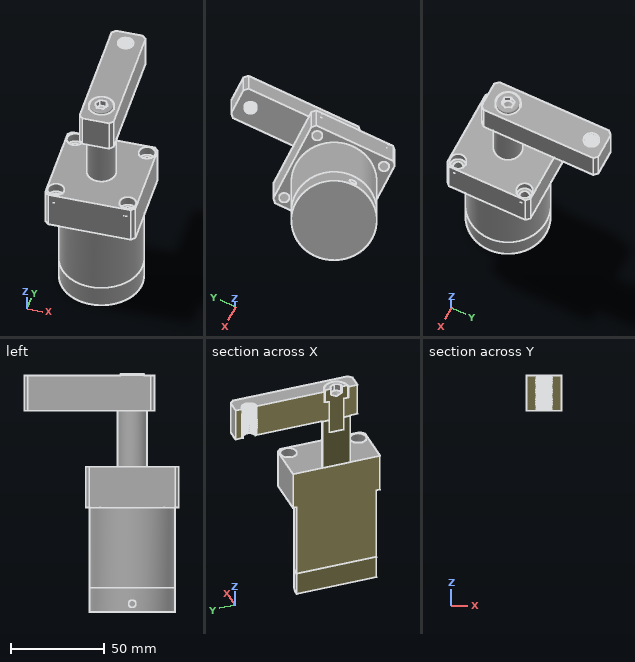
import cadquery as cq
import math

cap_height = 13.0
barrel_height = 43.0
flange_height = 22.0
rod_height = 30.0
arm_height = 19.0
head_proud = 1.0

flange_bottom = cap_height + barrel_height
flange_top = flange_bottom + flange_height
arm_bottom = flange_top + rod_height
arm_top = arm_bottom + arm_height
bolt_top = arm_top + head_proud

flange_side = 50.0
corner_chamfer = 2.0
barrel_diameter = flange_side - 2 * corner_chamfer
mount_pitch = 40.0
mount_hole_diameter = 5.5
mount_recess_diameter = 9.0
mount_recess_depth = 5.6

port_diameter = 4.0
port_z = 4.5
port_core_diameter = 16.0

rod_diameter = 16.0

arm_width = 19.0
arm_length = 70.0
arm_overhang = 12.0
arm_hole_y = 50.0

thread_minor_diameter = 6.8
thread_major_diameter = 8.6
thread_pitch = 1.3
flank_slope = math.tan(math.radians(30))

head_diameter = 13.0
head_height = 8.0
head_fillet = 0.9
head_recess_diameter = 14.0
shank_diameter = 8.0
shank_grip = shank_diameter
socket_sides = 6
socket_corner_diameter = 7.0
socket_depth = 4.0
socket_cone_height = 1.5
head_bottom = bolt_top - head_height
shank_bottom = arm_bottom - shank_grip


def cylinder(diameter, bottom, height, y=0):
    return cq.Workplane("XY", origin=(0, y, bottom)).circle(diameter / 2).extrude(height)


def make_housing():
    flange = (
        cq.Workplane("XY", origin=(0, 0, flange_bottom))
        .rect(flange_side, flange_side)
        .extrude(flange_height)
        .edges("|Z")
        .chamfer(corner_chamfer)
        .faces(">Z")
        .workplane()
        .rect(mount_pitch, mount_pitch, forConstruction=True)
        .vertices()
        .cboreHole(mount_hole_diameter, mount_recess_diameter, mount_recess_depth)
    )
    barrel = cylinder(barrel_diameter, cap_height, barrel_height)
    return flange.union(barrel)


def make_end_cap():
    port = (
        cq.Workplane("YZ", origin=(0, 0, port_z))
        .circle(port_diameter / 2)
        .extrude(-barrel_diameter / 2)
        .cut(cylinder(port_core_diameter, 0, cap_height))
    )
    return cylinder(barrel_diameter, 0, cap_height).cut(port)


def make_rod():
    shank_hole = cylinder(shank_diameter, shank_bottom, shank_grip)
    return cylinder(rod_diameter, flange_top, rod_height).cut(shank_hole)


def make_thread_cutter():
    """Threaded bore as a stack of V-shaped rings, one per pitch, with an open ring at the top face."""
    minor_radius = thread_minor_diameter / 2
    major_radius = thread_major_diameter / 2
    half_width = (major_radius - minor_radius) * flank_slope
    cutter = cylinder(thread_minor_diameter, arm_bottom, arm_height, y=arm_hole_y)
    for turn in range(math.ceil(arm_height / thread_pitch)):
        crest_z = arm_top - turn * thread_pitch
        ring = (
            cq.Workplane("XZ", origin=(0, arm_hole_y, crest_z))
            .moveTo(0, -half_width)
            .lineTo(minor_radius, -half_width)
            .lineTo(major_radius, 0)
            .lineTo(minor_radius, half_width)
            .lineTo(0, half_width)
            .close()
            .revolve()
        )
        cutter = cutter.union(ring)
    return cutter


def make_arm():
    arm = (
        cq.Workplane("XY", origin=(0, arm_length / 2 - arm_overhang, arm_bottom))
        .rect(arm_width, arm_length)
        .extrude(arm_height)
        .edges("|Z")
        .chamfer(corner_chamfer)
    )
    arm = arm.cut(make_thread_cutter())
    arm = arm.cut(cylinder(shank_diameter, arm_bottom, arm_height))
    return arm.cut(cylinder(head_recess_diameter, head_bottom, arm_top - head_bottom))


def make_bolt():
    head = cylinder(head_diameter, head_bottom, head_height).faces(">Z").edges().fillet(head_fillet)
    shank = cylinder(shank_diameter, shank_bottom, head_bottom - shank_bottom)
    socket = (
        cq.Workplane("XY", origin=(0, 0, bolt_top))
        .polygon(socket_sides, socket_corner_diameter)
        .extrude(-socket_depth)
    )
    socket_inscribed_radius = socket_corner_diameter / 2 * math.cos(math.pi / socket_sides)
    socket_tip = cq.Workplane(
        cq.Solid.makeCone(
            socket_inscribed_radius,
            0,
            socket_cone_height,
            pnt=cq.Vector(0, 0, bolt_top - socket_depth),
            dir=cq.Vector(0, 0, -1),
        )
    )
    return head.union(shank).cut(socket).cut(socket_tip)


housing = make_housing()
end_cap = make_end_cap()
rod = make_rod()
arm = make_arm()
bolt = make_bolt()

result = cq.Compound.makeCompound(
    [housing.val(), end_cap.val(), rod.val(), arm.val(), bolt.val()]
)